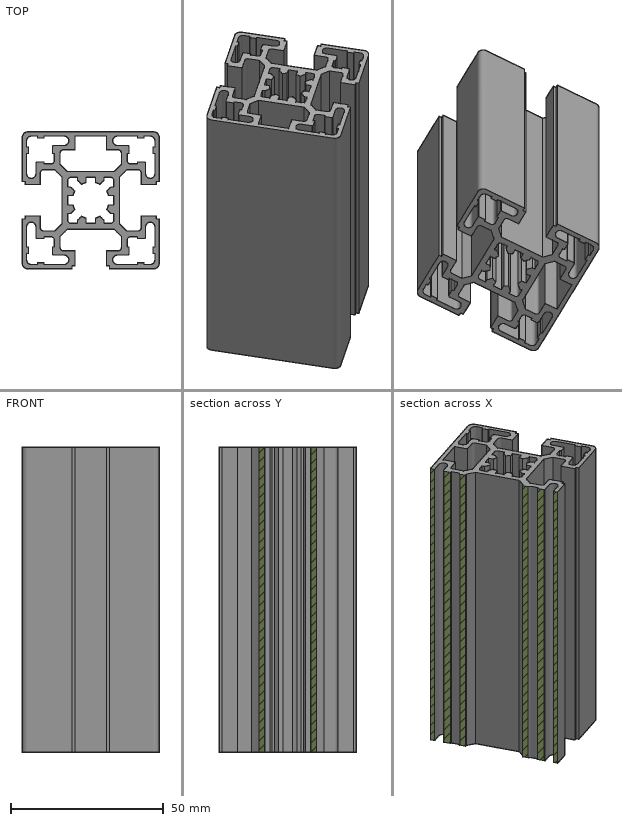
import cadquery as cq
import math

side = 45.0
length = 100.0
quarter_turns = (0, 90, 180, 270)
half = side / 2
outer_radius = 2.0

mouth_width = 10.2
step_width = 12.2
step_depth = 1.0
web = 2.0
skin = 1.5
lip_depth = 6.0
chamber_width = 20.0
floor_offset = 9.5
floor_chamfer = 2.3
lip_radius = 1.0

hollow_outer = half - skin
hollow_inner = chamber_width / 2 + web
hollow_radius = 1.5
web_radius = 1.0
arm_width = 3.0
arm_tip = 7.2
rib_height = 0.6
rib_chamfer = 0.3
rib_start = 15.3
outer_rib_end = 17.5
inner_rib_end = hollow_outer - arm_width

bore_half = floor_offset - web
bore_radius = 1.0
tooth_inner = 1.5
tooth_outer = 4.4
thread_radius = 6.0
tooth_slant = 2.2


def block(x_min, x_max, y_min, y_max):
    """Full-length block with the given plan limits."""
    return (
        cq.Workplane("XY")
        .center((x_min + x_max) / 2, (y_min + y_max) / 2)
        .rect(x_max - x_min, y_max - y_min)
        .extrude(length)
    )


def swap_xy(shape):
    """Flip a full-length prism about the diagonal, which swaps X and Y in its plan."""
    return shape.rotate((0, 0, 0), (1, 1, 0), 180).translate((0, 0, length))


def turn(shape, angle):
    """Rotate a shape about the profile axis."""
    return shape.rotate((0, 0, 0), (0, 0, 1), angle)


def slot(is_open):
    """Space of the T-slot on the +Y side."""
    chamber = block(-chamber_width / 2, chamber_width / 2, floor_offset, half - lip_depth)
    chamber = chamber.edges("|Z and <Y").chamfer(floor_chamfer)
    chamber = chamber.edges("|Z and >Y").fillet(lip_radius)
    mouth_end = half if is_open else half - skin
    space = chamber.union(block(-mouth_width / 2, mouth_width / 2, half - lip_depth, mouth_end))
    if is_open:
        space = space.union(block(-step_width / 2, step_width / 2, half - step_depth, half))
    return space


def corner_hollow():
    """Space of the hollow in the +X +Y corner, with two arms and four low ribs."""
    space = block(hollow_inner, hollow_outer, hollow_inner, hollow_outer)
    space = space.edges("|Z and (>X and >Y)").fillet(hollow_radius)
    space = space.edges("|Z and (<X and <Y)").fillet(web_radius)

    tip_radius = arm_width / 2
    tip_centre = arm_tip + tip_radius
    arm = block(tip_centre, rib_start, hollow_outer - arm_width, hollow_outer)
    tip = cq.Workplane("XY").center(tip_centre, hollow_outer - tip_radius).circle(tip_radius).extrude(length)
    arm = arm.union(tip)
    space = space.union(arm).union(swap_xy(arm))

    outer_rib = block(rib_start, outer_rib_end, hollow_outer - rib_height, hollow_outer)
    inner_rib = block(rib_start, inner_rib_end, hollow_inner, hollow_inner + rib_height)
    inner_rib = inner_rib.edges("|Z and (>X and >Y)").chamfer(rib_chamfer)
    for rib in (outer_rib, inner_rib):
        space = space.cut(rib).cut(swap_xy(rib))
    return space


def tooth():
    """Screw tooth on the +Y wall of the bore, on the +X side."""
    crest_x = (math.sqrt(2 * thread_radius**2 - tooth_slant**2) - tooth_slant) / 2
    middle_x = (crest_x + tooth_inner) / 2
    return (
        cq.Workplane("XY")
        .moveTo(tooth_inner, bore_half)
        .lineTo(tooth_inner, math.sqrt(thread_radius**2 - tooth_inner**2))
        .threePointArc(
            (middle_x, math.sqrt(thread_radius**2 - middle_x**2)),
            (crest_x, crest_x + tooth_slant),
        )
        .lineTo(tooth_outer, tooth_outer + tooth_slant)
        .lineTo(tooth_outer, bore_half)
        .close()
        .extrude(length)
    )


def bore():
    """Space of the toothed central bore."""
    space = block(-bore_half, bore_half, -bore_half, bore_half)
    space = space.edges("|Z").fillet(bore_radius)
    for angle in quarter_turns:
        space = space.cut(turn(tooth(), angle))
        space = space.cut(turn(swap_xy(tooth()), angle))
    return space


result = block(-half, half, -half, half).edges("|Z").fillet(outer_radius)
result = result.cut(bore())
for angle in quarter_turns:
    result = result.cut(turn(slot(is_open=angle != 0), angle))
    result = result.cut(turn(corner_hollow(), angle))